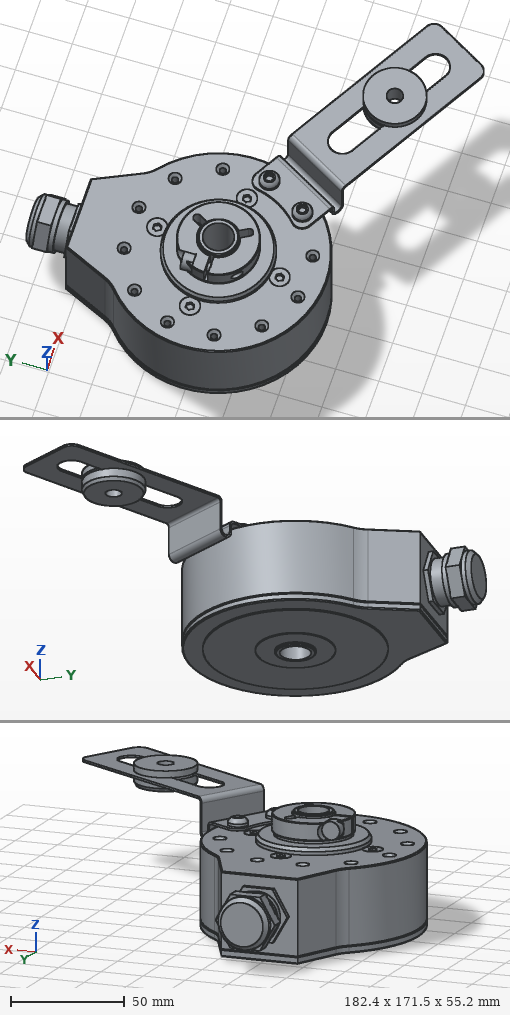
import cadquery as cq
import math


housing_radius = 50.0
housing_bottom = -38.8
neck_end = 64.7
neck_half_width = 18.0
neck_taper = math.radians(25)
neck_blend_radius = 15.0
edge_chamfer = 0.5
seam_z = -35.5
seam_width = 0.5
seam_depth = 0.4
boss_radius = 25.5
boss_height = 3.3
boss_chamfer_height = 1.6
boss_chamfer_width = 1.1
cover_radius = 40.8
cover_bottom = -39.5

shaft_radius = 9.1
shaft_top = 14.0
shaft_bottom = -41.2
shaft_bore_radius = 7.0
shaft_chamfer = 0.5
flange_radius = 17.7
flange_top = 4.4
flange_bottom = -40.1

thread_circle_radius = 41.5
thread_radius = 1.5
thread_mouth_radius = 3.0
thread_depth = 10.0
thread_count = 12
thread_first_angle = 15
thread_spacing = 360 / thread_count
flush_circle_radius = 29.7
flush_head_radius = 4.5
flush_head_recess = 0.1
flush_count = 4
flush_first_angle = -7.3
socket_width = 4.0
socket_depth = 1.8

gland_z = -17.5
gland_hex_width = 28.0
gland_foot_end = 67.0
gland_stem_radius = 10.8
gland_stem_end = 72.7
gland_collar_radius = 12.0
gland_nut_start = 75.1
gland_nut_end = 81.7
gland_tip_end = 85.7
gland_tip_chamfer = 2.0

ring_radius = 18.5
ring_bottom = 4.7
ring_top = 12.8
ring_chamfer = 0.4
ring_bore_chamfer = 0.5
split_width = 1.8
relief_width = 3.6
relief_center_radius = 13.9
relief_angles = (60, -60)
clamp_screw_x = -13.0
clamp_screw_z = (ring_bottom + ring_top) / 2
clamp_screw_radius = 2.0
clamp_head_radius = 4.2
clamp_pocket_radius = 4.5
clamp_head_start = 7.0
clamp_head_end = 12.2
clamp_thread_end = -7.3

arm_angle = -30
arm_half_width = 17.5
arm_length = 144.8
arm_corner_radius = 4.7
arm_inner_radius = 35.5
sheet = 1.0
arm_top = 11.0
arm_valley = -7.8
bend_inner_radius = 1.55
bend_outer_radius = bend_inner_radius + sheet
leg_inner_face = 52.0
wall_outer_face = 58.3
valley_outer_radius = (wall_outer_face - leg_inner_face) / 2
valley_inner_radius = valley_outer_radius - sheet
slot_start = 73.8
slot_end = 129.3
slot_radius = 6.4

arm_screw_offset_angle = 15
head_radius = 4.5
head_rim_height = 1.3
head_height = 3.5
head_top_radius = 2.5
head_dome_middle_radius = 3.8
head_dome_middle_height = 2.5

bush_distance = 105.0
bush_radius = 14.0
bush_top = 14.0
bush_bottom = 4.4
bush_chamfer_height = 1.6
bush_chamfer_width = 1.0
bush_hole_radius = 3.6


def disc(radius, z_low, z_high):
    """Upright cylinder on the shaft axis."""
    return cq.Workplane("XY").workplane(offset=z_low).circle(radius).extrude(z_high - z_low)


def y_cylinder(radius, x, z, y_start, y_end):
    """Cylinder lying along Y."""
    return (
        cq.Workplane("XZ", origin=(x, y_start, z))
        .circle(radius)
        .extrude(y_start - y_end)
    )


def turned(body):
    """Turn a body from the +X direction to the torque arm's direction."""
    return body.rotate((0, 0, 0), (0, 0, 1), arm_angle)


def polar_points(radius, angles):
    return [
        (radius * math.cos(math.radians(angle)), radius * math.sin(math.radians(angle)))
        for angle in angles
    ]


def housing_block(z_low, z_high, inset=0.0):
    """Round housing with a tapered neck blended into it."""
    height = z_high - z_low
    radius = housing_radius - inset
    tip = neck_end - inset
    tip_half = neck_half_width - inset
    root_half = tip_half + tip * math.tan(neck_taper)
    outline = [(-root_half, 0), (root_half, 0), (tip_half, tip), (-tip_half, tip)]
    neck = cq.Workplane("XY").workplane(offset=z_low).polyline(outline).close().extrude(height)
    blend_zone = cq.selectors.BoxSelector((-radius, tip / 4, z_low), (radius, tip * 3 / 4, z_high))
    block = disc(radius, z_low, z_high).union(neck)
    return block.edges("|Z").edges(blend_zone).fillet(neck_blend_radius)


def gland():
    """Cable gland on the end of the neck."""

    def hexagon(y_start, y_end):
        return (
            cq.Workplane("XZ", origin=(0, y_start, gland_z))
            .polygon(6, gland_hex_width)
            .extrude(y_start - y_end)
        )

    collar = y_cylinder(gland_collar_radius, 0, gland_z, gland_stem_end, gland_tip_end)
    return (
        hexagon(neck_end, gland_foot_end)
        .union(y_cylinder(gland_stem_radius, 0, gland_z, neck_end, gland_stem_end))
        .union(collar.faces(">Y").chamfer(gland_tip_chamfer))
        .union(hexagon(gland_nut_start, gland_nut_end))
    )


def housing_shell():
    """Chamfered housing with its seam groove, top boss and bottom cover."""
    shell = housing_block(housing_bottom, 0).faces("<Z or >Z").chamfer(edge_chamfer)
    seam_low = seam_z - seam_width / 2
    seam_high = seam_z + seam_width / 2
    groove = housing_block(seam_low, seam_high).cut(housing_block(seam_low, seam_high, seam_depth))
    boss = (
        disc(boss_radius, 0, boss_height)
        .faces(">Z")
        .edges()
        .chamfer(boss_chamfer_height, boss_chamfer_width)
    )
    return shell.cut(groove).union(boss).union(disc(cover_radius, cover_bottom, housing_bottom))


def hollow_shaft():
    """Shaft tube with a flange at each end."""
    tube = disc(shaft_radius, shaft_bottom, shaft_top).faces("<Z or >Z").chamfer(shaft_chamfer)
    return (
        tube.union(disc(flange_radius, boss_height, flange_top))
        .union(disc(flange_radius, flange_bottom, cover_bottom))
    )


def threaded_holes():
    """Countersunk holes in the top face, two of which hold the arm screws."""
    angles = [thread_first_angle + i * thread_spacing for i in range(thread_count)]
    centers = polar_points(thread_circle_radius, angles)
    mouth_depth = thread_mouth_radius - thread_radius
    bores = cq.Workplane("XY").pushPoints(centers).circle(thread_radius).extrude(-thread_depth)
    mouths = (
        cq.Workplane("XY")
        .pushPoints(centers)
        .circle(thread_mouth_radius)
        .extrude(-mouth_depth, taper=45)
    )
    return bores.union(mouths)


def flush_screws():
    """Outlines and sockets of the four screws sunk level with the top face."""
    angles = [flush_first_angle + i * 360 / flush_count for i in range(flush_count)]
    centers = polar_points(flush_circle_radius, angles)
    heads = cq.Workplane("XY").pushPoints(centers).circle(flush_head_radius).extrude(-flush_head_recess)
    sockets = cq.Workplane("XY").pushPoints(centers).polygon(6, socket_width).extrude(-socket_depth)
    return heads.union(sockets)


def make_encoder():
    bore = disc(shaft_bore_radius, shaft_bottom, shaft_top)
    body = housing_shell().cut(threaded_holes()).cut(flush_screws())
    return body.union(hollow_shaft()).union(gland()).cut(bore)


def make_clamp_ring():
    """Split ring around the shaft, made in one with its clamping screw."""
    height = ring_top - ring_bottom
    ring = disc(ring_radius, ring_bottom, ring_top).faces("<Z or >Z").chamfer(ring_chamfer)
    bore = disc(shaft_radius, ring_bottom, ring_top)
    bore_mouth = (
        cq.Workplane("XY")
        .workplane(offset=ring_top)
        .circle(shaft_radius + ring_bore_chamfer)
        .extrude(-ring_bore_chamfer, taper=45)
    )
    ring = ring.cut(bore).cut(bore_mouth)

    split = cq.Workplane("XY").box(ring_radius, split_width, height, centered=(False, True, False))
    ring = ring.cut(split.translate((-ring_radius, 0, ring_bottom)))

    for angle in relief_angles:
        relief = (
            cq.Workplane("XY")
            .workplane(offset=ring_bottom)
            .center(relief_center_radius / 2, 0)
            .slot2D(relief_center_radius + relief_width, relief_width)
            .extrude(height)
            .rotate((0, 0, 0), (0, 0, 1), angle)
        )
        ring = ring.cut(relief)

    def clamp_cylinder(radius, y_start, y_end):
        return y_cylinder(radius, clamp_screw_x, clamp_screw_z, y_start, y_end)

    pocket = clamp_cylinder(clamp_pocket_radius, clamp_head_start, ring_radius)
    thread = clamp_cylinder(clamp_screw_radius, -ring_radius, clamp_head_start)
    shank = clamp_cylinder(clamp_screw_radius, clamp_thread_end, clamp_head_start)
    head = clamp_cylinder(clamp_head_radius, clamp_head_start, clamp_head_end)
    return ring.cut(pocket).cut(thread).union(shank).union(head)


def arm_section():
    """Side outline of the bent sheet, from the mounting pad out to the far end."""
    leg_outer_face = leg_inner_face + sheet
    wall_inner_face = wall_outer_face - sheet
    pad_bend_x = leg_inner_face - bend_inner_radius
    tip_bend_x = wall_outer_face + bend_inner_radius
    pad_bend_z = -bend_inner_radius
    tip_bend_z = arm_top - bend_outer_radius
    valley_z = arm_valley + valley_outer_radius
    valley_x = (leg_inner_face + wall_outer_face) / 2
    diagonal = math.sqrt(0.5)
    inner_step = bend_inner_radius * diagonal
    outer_step = bend_outer_radius * diagonal
    return (
        cq.Workplane("XZ")
        .moveTo(0, sheet)
        .lineTo(pad_bend_x, sheet)
        .threePointArc((pad_bend_x + outer_step, pad_bend_z + outer_step), (leg_outer_face, pad_bend_z))
        .lineTo(leg_outer_face, valley_z)
        .threePointArc((valley_x, valley_z - valley_inner_radius), (wall_inner_face, valley_z))
        .lineTo(wall_inner_face, tip_bend_z)
        .threePointArc((tip_bend_x - outer_step, tip_bend_z + outer_step), (tip_bend_x, arm_top))
        .lineTo(arm_length, arm_top)
        .lineTo(arm_length, arm_top - sheet)
        .lineTo(tip_bend_x, arm_top - sheet)
        .threePointArc((tip_bend_x - inner_step, tip_bend_z + inner_step), (wall_outer_face, tip_bend_z))
        .lineTo(wall_outer_face, valley_z)
        .threePointArc((valley_x, arm_valley), (leg_inner_face, valley_z))
        .lineTo(leg_inner_face, pad_bend_z)
        .threePointArc((pad_bend_x + inner_step, pad_bend_z + inner_step), (pad_bend_x, 0))
        .lineTo(0, 0)
        .close()
    )


def arm_screw_points():
    return polar_points(thread_circle_radius, (-arm_screw_offset_angle, arm_screw_offset_angle))


def make_torque_arm():
    arm = arm_section().extrude(arm_half_width, both=True)
    arm = arm.cut(disc(arm_inner_radius, 0, sheet))
    arm = arm.edges("|Z").edges("<X or >X").fillet(arm_corner_radius)
    slot = (
        cq.Workplane("XY")
        .workplane(offset=arm_top - sheet)
        .center((slot_start + slot_end) / 2, 0)
        .slot2D(slot_end - slot_start + 2 * slot_radius, 2 * slot_radius)
        .extrude(sheet)
    )
    screw_holes = cq.Workplane("XY").pushPoints(arm_screw_points()).circle(thread_radius).extrude(sheet)
    return turned(arm.cut(slot).cut(screw_holes))


def make_arm_screw(center):
    """Domed screw with a hexagonal socket, threaded into the housing."""
    rim_z = sheet + head_rim_height
    top_z = sheet + head_height
    dome_middle = (head_dome_middle_radius, sheet + head_dome_middle_height)
    screw = (
        cq.Workplane("XZ")
        .moveTo(0, -thread_depth)
        .lineTo(thread_radius, -thread_depth)
        .lineTo(thread_radius, sheet)
        .lineTo(head_radius, sheet)
        .lineTo(head_radius, rim_z)
        .threePointArc(dome_middle, (head_top_radius, top_z))
        .lineTo(0, top_z)
        .close()
        .revolve(360, (0, 0), (0, 1))
    )
    socket = cq.Workplane("XY").workplane(offset=top_z).polygon(6, socket_width).extrude(-socket_depth)
    return turned(screw.cut(socket).translate((*center, 0)))


def make_bush():
    """Two discs clasping the arm, joined by a waist that runs in the slot."""
    lower_disc = (
        disc(bush_radius, bush_bottom, arm_top - sheet)
        .faces("<Z")
        .edges()
        .chamfer(bush_chamfer_height, bush_chamfer_width)
    )
    bush = (
        disc(bush_radius, arm_top, bush_top)
        .union(disc(slot_radius, arm_top - sheet, arm_top))
        .union(lower_disc)
        .cut(disc(bush_hole_radius, bush_bottom, bush_top))
    )
    return turned(bush.translate((bush_distance, 0, 0)))


encoder = make_encoder()
clamp_ring = make_clamp_ring()
torque_arm = make_torque_arm()
arm_screws = [make_arm_screw(center) for center in arm_screw_points()]
bush = make_bush()

result = cq.Compound.makeCompound(
    [
        encoder.val(),
        clamp_ring.val(),
        torque_arm.val(),
        *[screw.val() for screw in arm_screws],
        bush.val(),
    ]
)